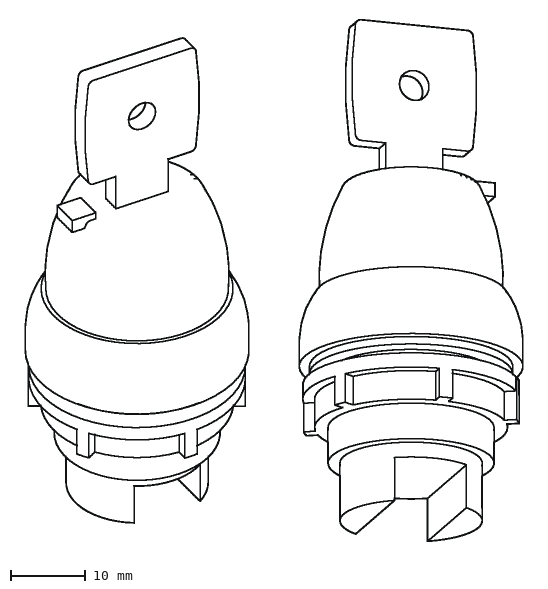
import cadquery as cq

feet_top = 6.0
spigot_top = 8.05
barrel_top = 13.0
nut_top = 17.0
nut_flange_top = 19.0
neck_top = 20.5
seal_top = 21.6
bezel_band_top = 25.3
bezel_top = 31.55
head_side_top = 46.2
head_top = 46.8
total_height = 68.9

spigot_radius = 9.5
barrel_radius = 11.1
nut_radius = 12.9
nut_flange_radius = 14.5
seal_radius = 13.6
bezel_radius = 14.95
bezel_shoulder_radius = 14.3
bezel_shoulder_height = 28.65
bezel_top_radius = 12.8
head_radius = 12.2
head_middle_radius = 11.8
head_middle_height = 39.15
head_side_top_radius = 9.3
head_face_radius = 8.55
head_rim_bulge = (9.1, 46.6)

tab_count = 6
tab_width = 1.85
index_tab_angle = 240
index_tab_reach = 14.55

foot_gap = 10.1

key_thickness = 2.7
bow_width = 17.65
bow_end_width = 16.4
bow_bottom = 52.0
bow_corner_radius = 0.8
shank_width = 8.05
key_hole_diameter = 4.1

marker_width = 4.05
marker_inner = 7.5
marker_outer = 11.15
marker_bottom = 45.8
marker_top = 47.75


def make_body():
    """Half outline in the XZ plane, turned about Z."""
    outline = (
        cq.Workplane("XZ")
        .moveTo(0, 0)
        .lineTo(spigot_radius, 0)
        .lineTo(spigot_radius, spigot_top)
        .lineTo(barrel_radius, spigot_top)
        .lineTo(barrel_radius, barrel_top)
        .lineTo(nut_radius, barrel_top)
        .lineTo(nut_radius, nut_top)
        .lineTo(nut_flange_radius, nut_top)
        .lineTo(nut_flange_radius, nut_flange_top)
        .lineTo(barrel_radius, nut_flange_top)
        .lineTo(barrel_radius, neck_top)
        .lineTo(seal_radius, neck_top)
        .lineTo(seal_radius, seal_top)
        .lineTo(bezel_radius, seal_top)
        .lineTo(bezel_radius, bezel_band_top)
        .threePointArc((bezel_shoulder_radius, bezel_shoulder_height), (bezel_top_radius, bezel_top))
        .lineTo(head_radius, bezel_top)
        .threePointArc((head_middle_radius, head_middle_height), (head_side_top_radius, head_side_top))
        .threePointArc(head_rim_bulge, (head_face_radius, head_top))
        .lineTo(0, head_top)
        .close()
    )
    return outline.revolve(360, (0, 0, 0), (0, 1, 0))


def make_nut_tabs():
    """Nut ring with radial bars, trimmed round to the flange radius."""
    tab_height = nut_top - barrel_top
    tabs = cq.Workplane("XY").workplane(offset=barrel_top).circle(nut_radius).extrude(tab_height)
    for index in range(tab_count // 2):
        bar = cq.Workplane("XY").box(2 * bezel_radius, tab_width, tab_height, centered=(True, True, False))
        bar = bar.rotate((0, 0, 0), (0, 0, 1), index * 360 / tab_count)
        tabs = tabs.union(bar.translate((0, 0, barrel_top)))
    limit = cq.Workplane("XY").workplane(offset=barrel_top).circle(nut_flange_radius).extrude(tab_height)
    return tabs.intersect(limit)


def make_index_tab():
    """Flat-ended tab that also runs up the side of the flange."""
    height = nut_flange_top - barrel_top
    tab = cq.Workplane("XY").box(index_tab_reach, tab_width, height, centered=(False, True, False))
    return tab.translate((0, 0, barrel_top)).rotate((0, 0, 0), (0, 0, 1), index_tab_angle)


def make_foot_gap():
    """Straight slot along X that leaves a foot on each Y side."""
    return cq.Workplane("XY").rect(2 * bezel_radius, foot_gap).extrude(feet_top)


def make_key():
    """Flat key in the YZ plane with a bulging, pierced bow."""
    bow_middle = (bow_bottom + total_height) / 2
    half_end = bow_end_width / 2
    half_width = bow_width / 2
    bow = (
        cq.Workplane("YZ")
        .moveTo(-half_end, bow_bottom)
        .lineTo(half_end, bow_bottom)
        .threePointArc((half_width, bow_middle), (half_end, total_height))
        .lineTo(-half_end, total_height)
        .threePointArc((-half_width, bow_middle), (-half_end, bow_bottom))
        .close()
        .extrude(key_thickness / 2, both=True)
        .edges("|X")
        .fillet(bow_corner_radius)
    )
    shank = (
        cq.Workplane("XY")
        .workplane(offset=head_side_top)
        .rect(key_thickness, shank_width)
        .extrude(bow_middle - head_side_top)
    )
    hole = (
        cq.Workplane("YZ")
        .center(0, bow_middle)
        .circle(key_hole_diameter / 2)
        .extrude(key_thickness, both=True)
    )
    return bow.union(shank).cut(hole)


def make_marker():
    """Small block overhanging the head on the -Y side."""
    return (
        cq.Workplane("XY")
        .workplane(offset=marker_bottom)
        .center(0, -(marker_inner + marker_outer) / 2)
        .rect(marker_width, marker_outer - marker_inner)
        .extrude(marker_top - marker_bottom)
    )


result = (
    make_body()
    .union(make_nut_tabs())
    .union(make_index_tab())
    .cut(make_foot_gap())
    .union(make_key())
    .union(make_marker())
)